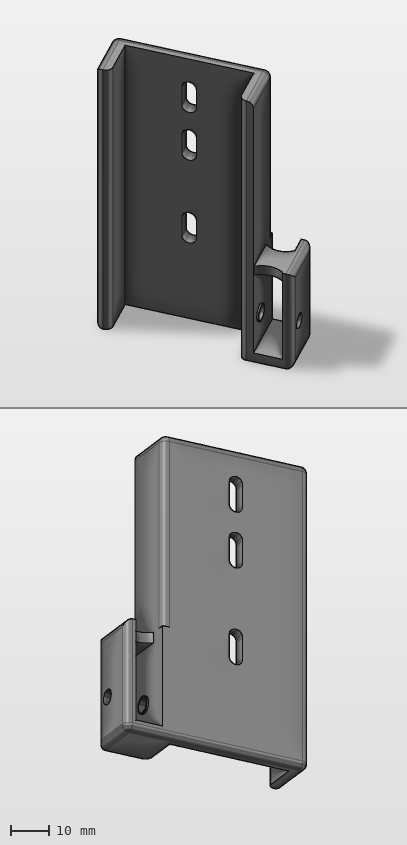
import cadquery as cq
import math

tray_width = 44.0
tray_depth = 15.2
tray_height = 87.5
left_wall = 4.2
right_wall = 4.0
back_plate = 3.5
edge_radius = 2.0

slot_width = 4.0
slot_length = 10.2
slot_heights = (30.6, 58.5, 74.6)

overall_width = 55.0
holder_height = 32.0
holder_wall = 3.0
holder_inner_x = overall_width - holder_wall
opening_width = holder_inner_x - tray_width

bridge_front_radius = 6.8
bridge_back_radius = 6.0
bridge_front_y = 1.65
bridge_back_y = 8.6

hole_diameter = 4.3
hole_y = 5.0
hole_z = 13.0
countersink_depth = 1.0
countersink_diameter = hole_diameter + 2 * countersink_depth
ring_diameter = 5.0
ring_height = 0.5


def box(x_range, y_range, z_range):
    """Box given by its (low, high) limits along each axis."""
    size = [high - low for low, high in (x_range, y_range, z_range)]
    corner = (x_range[0], y_range[0], z_range[0])
    return cq.Workplane("XY").box(*size, centered=False).translate(corner)


def x_cylinder(diameter, x_start, x_end):
    """Cylinder along X on the axis of the cross hole."""
    direction = cq.Vector(1, 0, 0)
    start = cq.Vector(x_start, hole_y, hole_z)
    return cq.Workplane(cq.Solid.makeCylinder(diameter / 2, x_end - x_start, start, direction))


def make_channel():
    """Space between the side walls, flaring at the front so that the inner lips are rounded."""
    inner_left = left_wall
    inner_right = tray_width - right_wall
    inner_back = tray_depth - back_plate
    arc_offset = edge_radius * (1 - math.sqrt(0.5))
    outline = (
        cq.Workplane("XY")
        .moveTo(inner_left - edge_radius, 0)
        .threePointArc((inner_left - arc_offset, arc_offset), (inner_left, edge_radius))
        .lineTo(inner_left, inner_back)
        .lineTo(inner_right, inner_back)
        .lineTo(inner_right, edge_radius)
        .threePointArc((inner_right + arc_offset, arc_offset), (inner_right + edge_radius, 0))
        .close()
    )
    return outline.extrude(tray_height)


def make_tray():
    body = box((0, tray_width), (0, tray_depth), (0, tray_height))
    body = body.edges(">Y or <X or (>X and >Z)").fillet(edge_radius)
    return body.cut(make_channel())


def make_slots():
    centres = [(tray_width / 2, z) for z in slot_heights]
    slots = cq.Workplane("XZ").pushPoints(centres).slot2D(slot_length, slot_width, 90)
    return slots.extrude(-tray_depth)


def make_bridge_cutter(arc_radius, middle_y, outer_y):
    """Cutter as wide as the opening, from outer_y to an arc whose middle lies at middle_y."""
    half_width = opening_width / 2
    arc_rise = arc_radius - math.sqrt(arc_radius**2 - half_width**2)
    inward = 1 if middle_y > outer_y else -1
    end_y = middle_y - inward * arc_rise
    outline = (
        cq.Workplane("XY", origin=(0, 0, holder_height - holder_wall))
        .moveTo(tray_width, outer_y)
        .lineTo(tray_width, end_y)
        .threePointArc((tray_width + half_width, middle_y), (holder_inner_x, end_y))
        .lineTo(holder_inner_x, outer_y)
        .close()
    )
    return outline.extrude(holder_wall)


def make_holder():
    body = box((tray_width - right_wall + edge_radius, overall_width), (0, tray_depth), (0, holder_height))
    body = body.edges(">X or (>Y and <Z)").fillet(edge_radius)
    opening = box(
        (tray_width, holder_inner_x), (0, tray_depth), (holder_wall, holder_height - holder_wall)
    )
    body = body.cut(opening)
    body = body.cut(make_bridge_cutter(bridge_front_radius, bridge_front_y, 0))
    return body.cut(make_bridge_cutter(bridge_back_radius, bridge_back_y, tray_depth))


def make_spacer_rings():
    left_ring = x_cylinder(ring_diameter, tray_width, tray_width + ring_height)
    right_ring = x_cylinder(ring_diameter, holder_inner_x - ring_height, holder_inner_x)
    return left_ring.union(right_ring)


def make_cross_hole():
    inner_face_x = tray_width - right_wall
    hole = x_cylinder(hole_diameter, inner_face_x, overall_width)
    countersink = cq.Solid.makeCone(
        countersink_diameter / 2,
        hole_diameter / 2,
        countersink_depth,
        cq.Vector(inner_face_x, hole_y, hole_z),
        cq.Vector(1, 0, 0),
    )
    return hole.union(cq.Workplane(countersink))


result = (
    make_tray()
    .cut(make_slots())
    .union(make_holder())
    .union(make_spacer_rings())
    .cut(make_cross_hole())
)